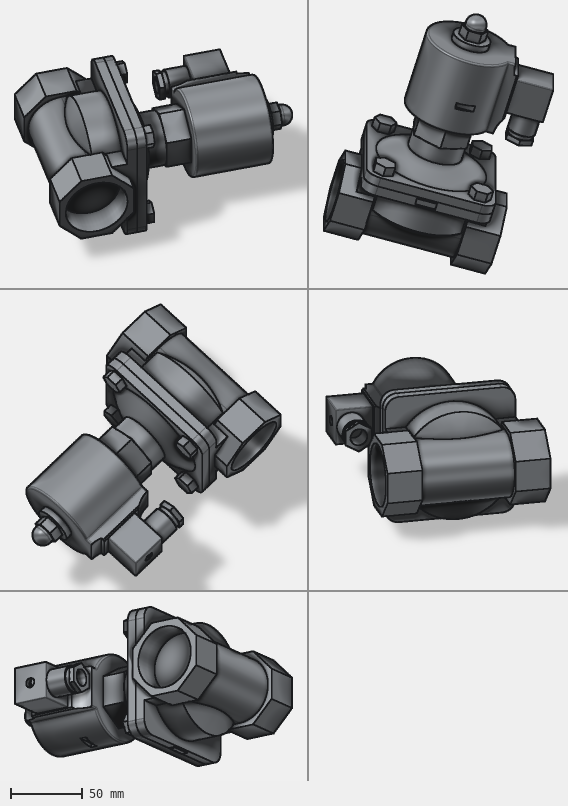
import cadquery as cq
import math


HALF_HEXAGON_STEP = 180 / 6
HALF_OCTAGON_STEP = 180 / 8

PIPE_RADIUS = 24.0
PORT_FLATS = 54.0
PORT_LENGTH = 25.2
HOUSING_LENGTH = 118.0
BORE_DIAMETER = 44.9
BORE_DEPTH = 20.0
CHAMBER_RADIUS = 40.2
CHAMBER_BOTTOM = 3.9
DOME_RADIUS = 72.3
FLANGE_SIZE = 94.2
FLANGE_CORNER_RADIUS = 10.0
FLANGE_BOTTOM = 25.5
FLANGE_JOINT = 32.8
LABEL_LENGTH = 14.7
LABEL_WIDTH = 4.6
LABEL_HEIGHT = 0.7
LABEL_X = 0.7
LABEL_Y = 29.5

COVER_TOP = 39.7
NECK_RADIUS = 19.7
NECK_TOP = 62.0
STEM_HEX_FLATS = 38.4
STEM_HEX_TOP = 80.0
THREAD_DIAMETER = 10.0
STEM_TOP = 146.5

BOLT_OFFSET = 35.2
BOLT_FLATS = 14.1
BOLT_HEAD_HEIGHT = 6.9
BOLT_LENGTH = 11.1

COIL_RADIUS = 31.7
COIL_HEIGHT = 56.4
COIL_EDGE_RADIUS = 1.3
COIL_TOP = STEM_HEX_TOP + COIL_HEIGHT
BLOCK_HALF_WIDTH = 15.0
BLOCK_X = -33.2
BLOCK_ROOT_RADIUS = 0.7
SEAT_X = -37.6
SEAT_TOP = 128.0
SEAT_BOTTOM = 93.8
SEAT_CHAMFER = 1.1
TAPER_X = -34.7
SLOT_LENGTH = 13.7
SLOT_WIDTH = 4.5
SLOT_FLOOR = -28.7
SLOT_Y = 101.0

PLUG_X = -64.5
PLUG_SIZE = 26.5
PLUG_Y = 110.7
PLUG_EDGE_RADIUS = 0.5
SCREW_DIAMETER = 6.9
SCREW_DEPTH = 3.7
CROSS_LENGTH = 4.5
CROSS_WIDTH = 1.5
CROSS_DEPTH = 1.1
GLAND_X = -53.6
GLAND_DIAMETER = 20.0
GLAND_BOTTOM = 82.0
GLAND_NECK_DIAMETER = 18.0
GLAND_NECK_BOTTOM = 78.6
GLAND_HEX_FLATS = 18.7
GLAND_HEX_BOTTOM = 74.5
GLAND_BORE_DIAMETER = 12.0
GLAND_BORE_DEPTH = 14.8

NUT_FLANGE_RADIUS = 13.5
NUT_FLANGE_HEIGHT = 4.8
NUT_FLATS = 16.7
NUT_HEX_HEIGHT = 7.6
CAP_DIAMETER = 15.0
STACK_TOP = 185.5 - PORT_FLATS / 2


def cylinder(radius, bottom, top, x=0, z=0):
    """Cylinder along Y between two heights."""
    return cq.Workplane("XZ", origin=(x, bottom, z)).circle(radius).extrude(bottom - top)


def hexagon(flats, bottom, top, x=0, z=0, turn=0):
    """Hexagonal prism along Y; with no turn its corners point along X."""
    corner_diameter = flats / math.cos(math.radians(HALF_HEXAGON_STEP))
    prism = cq.Workplane("XZ").polygon(6, corner_diameter).extrude(bottom - top)
    return prism.rotate((0, 0, 0), (0, 1, 0), turn).translate((x, bottom, z))


def domed_cylinder(bottom, top):
    """Chamber-sized cylinder whose lower end bulges out as a spherical cap."""
    sphere_centre = bottom + math.sqrt(DOME_RADIUS**2 - CHAMBER_RADIUS**2)
    profile = (
        cq.Workplane("XY")
        .moveTo(0, top)
        .lineTo(CHAMBER_RADIUS, top)
        .lineTo(CHAMBER_RADIUS, bottom)
        .radiusArc((0, sphere_centre - DOME_RADIUS), DOME_RADIUS)
        .close()
    )
    return profile.revolve(360, (0, 0, 0), (0, 1, 0))


def square_flange(bottom, top):
    """Square plate with rounded corners between two heights."""
    plate = cq.Workplane("XY").box(FLANGE_SIZE, top - bottom, FLANGE_SIZE, centered=(True, False, True))
    return plate.edges("|Y").fillet(FLANGE_CORNER_RADIUS).translate((0, bottom, 0))


def bolt_places():
    """Position and head turn of each bolt; neighbouring heads differ by 30 degrees."""
    for x_side in (-1, 1):
        for z_side in (-1, 1):
            turn = HALF_HEXAGON_STEP if x_side * z_side < 0 else 0
            yield x_side * BOLT_OFFSET, z_side * BOLT_OFFSET, turn


def make_bolt(x, z, turn):
    head = hexagon(BOLT_FLATS, COVER_TOP, COVER_TOP + BOLT_HEAD_HEIGHT, x, z, turn)
    return head.union(bolt_shank(x, z))


def bolt_shank(x, z):
    return cylinder(THREAD_DIAMETER / 2, COVER_TOP - BOLT_LENGTH, COVER_TOP, x, z)


def cut_bolt_holes(body):
    for x, z, _ in bolt_places():
        body = body.cut(bolt_shank(x, z))
    return body


def make_housing():
    pipe = cq.Workplane("YZ").circle(PIPE_RADIUS).extrude(HOUSING_LENGTH / 2, both=True)
    bridge = cq.Workplane("XY").box(
        FLANGE_SIZE, FLANGE_BOTTOM, 2 * PIPE_RADIUS, centered=(True, False, True)
    )
    body = pipe.union(bridge)
    body = body.union(domed_cylinder(CHAMBER_BOTTOM, FLANGE_BOTTOM))
    body = body.union(square_flange(FLANGE_BOTTOM, FLANGE_JOINT))

    octagon_diameter = PORT_FLATS / math.cos(math.radians(HALF_OCTAGON_STEP))
    for side in (-1, 1):
        end = cq.Workplane("YZ", origin=(side * HOUSING_LENGTH / 2, 0, 0))
        port = end.polygon(8, octagon_diameter).extrude(-side * PORT_LENGTH)
        port = port.rotate((0, 0, 0), (1, 0, 0), HALF_OCTAGON_STEP)
        body = body.union(port)
    for side in (-1, 1):
        end = cq.Workplane("YZ", origin=(side * HOUSING_LENGTH / 2, 0, 0))
        body = body.cut(end.circle(BORE_DIAMETER / 2).extrude(-side * BORE_DEPTH))

    label = cq.Workplane("XY").box(LABEL_LENGTH, LABEL_WIDTH, 2 * LABEL_HEIGHT)
    body = body.union(label.translate((LABEL_X, LABEL_Y, -FLANGE_SIZE / 2)))
    return cut_bolt_holes(body)


def make_bonnet():
    body = square_flange(FLANGE_JOINT, COVER_TOP)
    dome = domed_cylinder(-COVER_TOP, -FLANGE_JOINT).rotate((0, 0, 0), (1, 0, 0), 180)
    body = body.union(dome)
    body = body.union(cylinder(NECK_RADIUS, FLANGE_JOINT, NECK_TOP))
    body = body.union(hexagon(STEM_HEX_FLATS, NECK_TOP, STEM_HEX_TOP, turn=HALF_HEXAGON_STEP))
    body = body.union(stem())
    return cut_bolt_holes(body)


def stem():
    """Stud that carries the coil and ends inside the cap nut."""
    return cylinder(THREAD_DIAMETER / 2, NECK_TOP, STEM_TOP)


def flare_radius(reach, height):
    """Radius of an arc that leaves the coil end parallel to Y and moves out by the reach."""
    return (reach**2 + height**2) / (2 * reach)


def terminal_block():
    """Block on the -X side of the coil that flares out to a flat seat for the plug."""
    lower_radius = flare_radius(BLOCK_X - SEAT_X, SEAT_BOTTOM - STEM_HEX_TOP)
    upper_radius = flare_radius(BLOCK_X - TAPER_X, COIL_TOP - SEAT_TOP)
    block = (
        cq.Workplane("XY")
        .moveTo(0, STEM_HEX_TOP)
        .lineTo(BLOCK_X, STEM_HEX_TOP)
        .radiusArc((SEAT_X, SEAT_BOTTOM), -lower_radius)
        .lineTo(SEAT_X, SEAT_TOP)
        .lineTo(TAPER_X, SEAT_TOP)
        .radiusArc((BLOCK_X, COIL_TOP), -upper_radius)
        .lineTo(0, COIL_TOP)
        .close()
        .extrude(BLOCK_HALF_WIDTH, both=True)
    )
    return block.faces("<X").edges("|Y").chamfer(SEAT_CHAMFER)


def plug():
    """Square plug with a recessed cross-head screw in its outer face."""
    body = cq.Workplane("XY").box(SEAT_X - PLUG_X, PLUG_SIZE, PLUG_SIZE, centered=(False, True, True))
    body = body.edges("|X").fillet(PLUG_EDGE_RADIUS)
    body = body.faces("<X").edges().fillet(PLUG_EDGE_RADIUS)
    recess = cq.Workplane("YZ").circle(SCREW_DIAMETER / 2).extrude(SCREW_DEPTH)
    for size in ((CROSS_LENGTH, CROSS_WIDTH), (CROSS_WIDTH, CROSS_LENGTH)):
        recess = recess.union(cq.Workplane("YZ").rect(*size).extrude(SCREW_DEPTH + CROSS_DEPTH))
    return body.cut(recess).translate((PLUG_X, PLUG_Y, 0))


def cable_gland():
    body = cylinder(GLAND_DIAMETER / 2, GLAND_BOTTOM, PLUG_Y, GLAND_X)
    body = body.union(cylinder(GLAND_NECK_DIAMETER / 2, GLAND_NECK_BOTTOM, GLAND_BOTTOM, GLAND_X))
    nut = hexagon(
        GLAND_HEX_FLATS, GLAND_HEX_BOTTOM, GLAND_NECK_BOTTOM, GLAND_X, turn=HALF_HEXAGON_STEP
    )
    body = body.union(nut)
    bore_top = GLAND_HEX_BOTTOM + GLAND_BORE_DEPTH
    return body.cut(cylinder(GLAND_BORE_DIAMETER / 2, GLAND_HEX_BOTTOM, bore_top, GLAND_X))


def make_coil():
    body = cylinder(COIL_RADIUS, STEM_HEX_TOP, COIL_TOP).union(terminal_block())
    root_x = -math.sqrt(COIL_RADIUS**2 - BLOCK_HALF_WIDTH**2)
    for side in (-1, 1):
        root = cq.selectors.NearestToPointSelector((root_x, PLUG_Y, side * BLOCK_HALF_WIDTH))
        body = body.edges("|Y").edges(root).fillet(BLOCK_ROOT_RADIUS)
    body = body.faces("<Y or >Y").edges("not |Z").fillet(COIL_EDGE_RADIUS)
    body = body.union(plug()).union(cable_gland())
    slot = cq.Workplane("XY").box(SLOT_LENGTH, SLOT_WIDTH, COIL_RADIUS, centered=(False, True, False))
    body = body.cut(slot.translate((-SLOT_LENGTH, SLOT_Y, SLOT_FLOOR - COIL_RADIUS)))
    return body.cut(stem())


def make_cap_nut():
    hex_bottom = COIL_TOP + NUT_FLANGE_HEIGHT
    hex_top = hex_bottom + NUT_HEX_HEIGHT
    cap_radius = CAP_DIAMETER / 2
    body = cylinder(NUT_FLANGE_RADIUS, COIL_TOP, hex_bottom)
    body = body.union(hexagon(NUT_FLATS, hex_bottom, hex_top))
    cap_centre = STACK_TOP - cap_radius
    body = body.union(cylinder(cap_radius, hex_bottom, cap_centre))
    body = body.union(cq.Workplane("XY", origin=(0, cap_centre, 0)).sphere(cap_radius))
    return body.cut(stem())


housing = make_housing()
bonnet = make_bonnet()
bolts = [make_bolt(x, z, turn) for x, z, turn in bolt_places()]
coil = make_coil()
cap_nut = make_cap_nut()

result = cq.Compound.makeCompound(
    [housing.val(), bonnet.val(), coil.val(), cap_nut.val(), *[bolt.val() for bolt in bolts]]
)